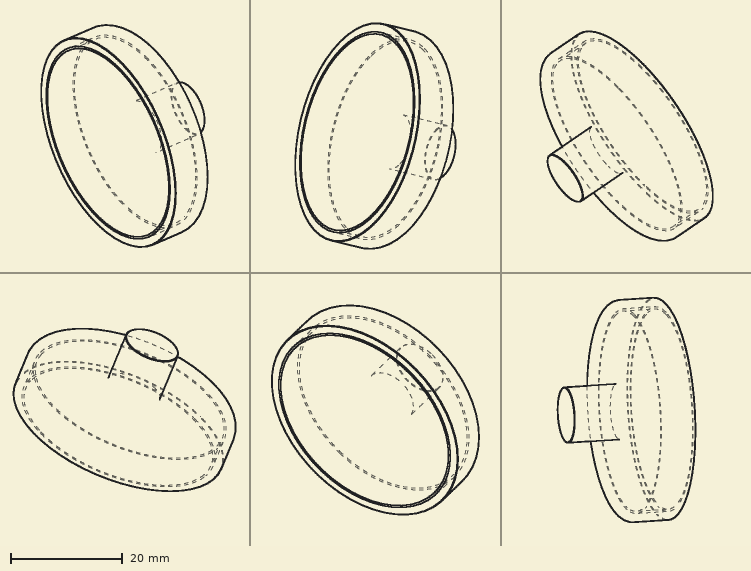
import cadquery as cq

housing_diameter = 40.0
housing_depth = 8.0
total_depth = 18.0
stem_diameter = 10.0
magnet_diameter = 36.0
recess_diameter = 36.8
back_wall = 2.0

back_fillet = 1.5
stem_root_fillet = 0.3
edge_chamfer = 0.1

front_y = -total_depth / 2
housing_back_y = front_y + housing_depth
recess_depth = housing_depth - back_wall
stem_length = total_depth - housing_depth


def cylinder(diameter, start_y, length):
    """Solid cylinder running from start_y towards +Y."""
    plane = cq.Workplane("XZ", origin=(0, start_y, 0))
    return plane.circle(diameter / 2).extrude(-length)


def make_housing():
    """Cup with a rounded back edge and an integral stem."""
    cup = cylinder(housing_diameter, front_y, housing_depth)
    cup = cup.faces(">Y").edges().fillet(back_fillet)
    cup = cup.faces("<Y").edges().chamfer(edge_chamfer)
    stem = cylinder(stem_diameter, housing_back_y, stem_length)
    stem = stem.faces(">Y").edges().chamfer(edge_chamfer)
    body = cup.union(stem)
    back_face = cq.selectors.NearestToPointSelector((0, housing_back_y, 0))
    stem_root = cq.selectors.RadiusNthSelector(0)
    body = body.faces("|Y").faces(back_face).edges(stem_root).fillet(stem_root_fillet)
    return body.cut(cylinder(recess_diameter, front_y, recess_depth))


def make_magnet():
    """Disc seated on the recess floor, flush with the housing rim."""
    return cylinder(magnet_diameter, front_y, recess_depth)


def make_spacer_ring():
    """Ring filling the gap between the magnet and the housing."""
    ring = cylinder(recess_diameter, front_y, recess_depth)
    return ring.cut(cylinder(magnet_diameter, front_y, recess_depth))


housing = make_housing()
magnet = make_magnet()
spacer_ring = make_spacer_ring()

result = cq.Compound.makeCompound([housing.val(), magnet.val(), spacer_ring.val()])